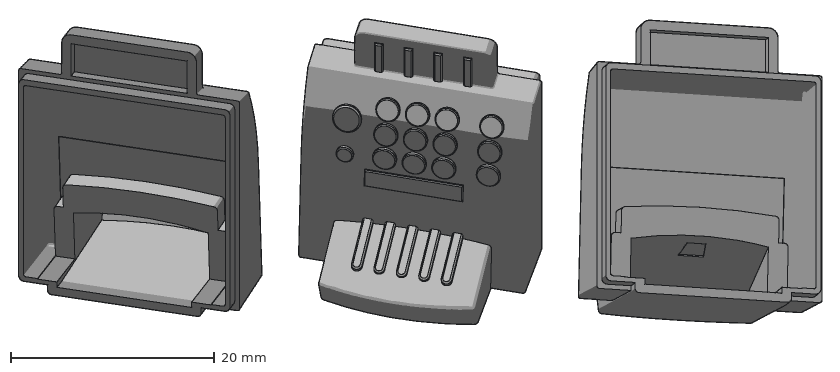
import cadquery as cq
import math

WALL = 1.0
DRAFT = 5.0
MARGIN = 0.03
FAR = 33.6

RIM_DEPTH = 1.45
RIM_HALF_WIDTH = 10.98
RIM_BOTTOM = 1.0
RIM_TOP = 23.07
RIM_CORNER = 0.55
BODY_WIDTH = 23.0
BODY_HALF_WIDTH = BODY_WIDTH / 2
BODY_BOTTOM = 0.53
BODY_TOP = 23.5
BODY_BACK_BOTTOM = 1.15
BODY_BACK_TOP = 23.18
BODY_ROUND = 0.28

BACK_LEAN = math.radians(4.8)
BACK_RADIUS = 20.72
TANGENT_Y = 7.42
TANGENT_Z = 14.1
ARC_Y = TANGENT_Y - BACK_RADIUS * math.cos(BACK_LEAN)
ARC_Z = TANGENT_Z - BACK_RADIUS * math.sin(BACK_LEAN)

CAVITY_HALF_WIDTH = BODY_HALF_WIDTH - WALL
CAVITY_BOTTOM = 1.55
CAVITY_TOP = 22.45
CAVITY_ROUND = 0.28
BAY_HALF_WIDTH = 9.02
BAY_BOTTOM = 1.48
BAY_EXTRA_DEPTH = 0.1

PEDAL_HALF_WIDTH = 7.98
PEDAL_SIDE_WALL = 0.98
PEDAL_WALL = 0.7
PEDAL_FLOOR = 0.9
PEDAL_ROUND = 0.42
ROOF_Y = 7.92
ROOF_Z = 7.0
ROOF_SLOPE = math.radians(19.1)
ROOF_NORMAL = cq.Vector(0, math.sin(ROOF_SLOPE), math.cos(ROOF_SLOPE))
ROOF_INNER_SLOPE = math.radians(21.0)
ROOF_CROWN = 0.45
ROOF_INNER_CROWN = 0.62
END_Y = 14.92
END_Z = 1.23
END_LEAN = math.radians(21.8)
END_BOW = 1.0

BLOCK_DEPTH = 2.0
BLOCK_ANCHOR = 0.28
BLOCK_TOP = 10.22
BLOCK_FOOT = 1.23
BLOCK_CROWN = 0.45
BLOCK_HALF_WIDTH = 8.05
SHOULDER_TOP = 7.2
BLOCK_ROUND = 0.42

RIB_COUNT = 5
RIB_PITCH = 2.27
RIB_WIDTH = 1.05
RIB_HEIGHT = 0.35
RIB_START = -0.55
RIB_END = 5.6
RIB_SINK = 0.35
RIB_CHAMFER = 0.17

NOTCH_HALF_TOP = 0.95
NOTCH_HALF_FOOT = 1.3
NOTCH_START = -1.82
NOTCH_LENGTH = 2.25
NOTCH_DEPTH = 0.15

TAB_HALF_WIDTH = 7.0
TAB_BACK = 3.47
TAB_TOP = 28.0
TAB_ROOT = 22.68
TAB_CORNER = 0.98
TAB_EDGE_ROUND = 0.22
TAB_ROOT_ROUND = 0.22
TAB_WALL = 0.98
TAB_POCKET_DEPTH = 1.0
TAB_RIB_COUNT = 4
TAB_RIB_PITCH = 3.0
TAB_RIB_WIDTH = 0.87
TAB_RIB_TOP = 26.95
TAB_RIB_HEIGHT = 0.25
TAB_RIB_CHAMFER = 0.15

KEY_HEIGHT = 0.4
BAR_HEIGHT = 0.25
KEY_SINK = 0.22
KEY_CHAMFER = 0.1
KEY_DIAMETER = 2.4
KEY_COLUMNS = (-7.5, -3.0, 0, 3.0)
KEY_ROWS = (20.5, 17.95, 15.3)
DIAL_DIAMETER = 2.9
DIAL_X = 7.0
DIAL_Z = 18.98
DIAL_CHAMFER = 0.17
DOT_DIAMETER = 1.75
DOT_Z = 15.05
BAR_LENGTH = 9.97
BAR_WIDTH = 2.02
BAR_Z = 12.5


def back_y(z, inset=0):
    """Depth of the back wall at height z, moved inwards by inset."""
    radius = BACK_RADIUS - inset
    tangent_z = ARC_Z + radius * math.sin(BACK_LEAN)
    if z >= tangent_z:
        return ARC_Y + math.sqrt(radius**2 - (z - ARC_Z) ** 2)
    tangent_y = ARC_Y + radius * math.cos(BACK_LEAN)
    return tangent_y + (tangent_z - z) * math.tan(BACK_LEAN)


def back_bounded(half_width, front, front_z, back_z, inset=0):
    """Solid from a flat front to the back wall; each z pair is (bottom, top)."""
    radius = BACK_RADIUS - inset
    tangent_z = ARC_Z + radius * math.sin(BACK_LEAN)
    middle_z = (tangent_z + back_z[1]) / 2
    return (
        cq.Workplane("YZ")
        .moveTo(front, front_z[0])
        .lineTo(front, front_z[1])
        .lineTo(back_y(back_z[1], inset), back_z[1])
        .threePointArc((back_y(middle_z, inset), middle_z), (back_y(tangent_z, inset), tangent_z))
        .lineTo(back_y(back_z[0], inset), back_z[0])
        .close()
        .extrude(half_width, both=True)
    )


def spaced(count, pitch):
    """X positions of a row centred on the middle of the part."""
    return [(i - (count - 1) / 2) * pitch for i in range(count)]


def front_block(half_width, z_bottom, z_top, y_front, y_back):
    """Box that is centred on X."""
    size = (2 * half_width, y_back - y_front, z_top - z_bottom)
    corner = (-half_width, y_front, z_bottom)
    return cq.Workplane("XY").box(*size, centered=False).translate(corner)


def crowned(workplane, half_width, crown, depth):
    """Outline with an arched top through the workplane origin."""
    return (
        workplane.moveTo(-half_width, -depth)
        .lineTo(-half_width, -crown)
        .threePointArc((0, 0), (half_width, -crown))
        .lineTo(half_width, -depth)
        .close()
    )


def roof_section_plane(y, z, slope):
    """Plane across the roof slope, its local Y pointing out of the roof."""
    normal = (0, -math.cos(slope), math.sin(slope))
    return cq.Plane(origin=(0, y, z), xDir=(1, 0, 0), normal=normal)


def roof_face_plane(y, z, slope):
    """Plane lying on the roof, its local Y pointing down the slope."""
    normal = (0, math.sin(slope), math.cos(slope))
    return cq.Plane(origin=(0, y, z), xDir=(1, 0, 0), normal=normal)


def pedal_volume(half_width, roof_z, slope, crown, end_y, floor_lift):
    """Wedge between the crowned roof, the bowed end wall and the floor."""
    roof_plane = cq.Workplane(roof_section_plane(ROOF_Y, roof_z, slope))
    under_roof = crowned(roof_plane, half_width, crown, FAR).extrude(FAR, both=True)
    end_normal = (0, math.sin(END_LEAN), math.cos(END_LEAN))
    end_plane = cq.Plane(origin=(0, end_y, END_Z), xDir=(1, 0, 0), normal=end_normal)
    bow = END_BOW * (half_width / PEDAL_HALF_WIDTH) ** 2
    before_end = crowned(cq.Workplane(end_plane), half_width, bow, FAR).extrude(FAR, both=True)
    floor_rise = (FAR - RIM_DEPTH) * math.tan(math.radians(DRAFT))
    above_floor = (
        cq.Workplane("YZ")
        .polyline([
            (0, floor_lift),
            (RIM_DEPTH, floor_lift),
            (FAR, floor_lift + floor_rise),
            (FAR, FAR),
            (0, FAR),
        ])
        .close()
        .extrude(half_width, both=True)
    )
    return under_roof.intersect(before_end).intersect(above_floor)


def make_body():
    body = back_bounded(
        BODY_HALF_WIDTH,
        RIM_DEPTH,
        (BODY_BOTTOM, BODY_TOP),
        (BODY_BACK_BOTTOM, BODY_BACK_TOP),
    )
    side_edges = body.faces("<X or >X").edges("not <Y")
    top_back_edge = body.faces(">Z").edges(">Y")
    body = side_edges.add(top_back_edge).fillet(BODY_ROUND)
    rim = front_block(RIM_HALF_WIDTH, RIM_BOTTOM, RIM_TOP, 0, RIM_DEPTH)
    return body.union(rim.edges("|Y").fillet(RIM_CORNER))


def make_pedal():
    pedal = pedal_volume(PEDAL_HALF_WIDTH, ROOF_Z, ROOF_SLOPE, ROOF_CROWN, END_Y, 0)
    side_edges = pedal.faces("<X or >X").edges("not <Y")
    top_of_end = pedal.edges("%BSPLINE")
    return side_edges.add(top_of_end).fillet(PEDAL_ROUND)


def make_cavity():
    heights = (CAVITY_BOTTOM, CAVITY_TOP)
    cavity = back_bounded(CAVITY_HALF_WIDTH, 0, heights, heights, WALL)
    cavity = cavity.faces("<X or >X or <Z or >Z").edges("not <Y").fillet(CAVITY_ROUND)
    bay_heights = (BAY_BOTTOM, CAVITY_TOP)
    bay = back_bounded(BAY_HALF_WIDTH, 0, bay_heights, bay_heights, WALL - BAY_EXTRA_DEPTH)
    below_arc = front_block(BAY_HALF_WIDTH, 0, TANGENT_Z, 0, FAR)
    return cavity.union(bay.intersect(below_arc))


def make_mouth_block():
    """Hood and shoulders that stand square to the leaning back wall."""
    normal = (0, -math.cos(BACK_LEAN), -math.sin(BACK_LEAN))

    def face_at(z):
        origin = (0, back_y(z, WALL + BLOCK_DEPTH), z)
        return cq.Workplane(cq.Plane(origin=origin, xDir=(1, 0, 0), normal=normal))

    reach = -(BLOCK_DEPTH + BLOCK_ANCHOR)
    hood = crowned(face_at(BLOCK_TOP), BLOCK_HALF_WIDTH, BLOCK_CROWN, BLOCK_TOP - BLOCK_FOOT)
    shoulder_height = SHOULDER_TOP - BLOCK_FOOT
    shoulder = face_at(SHOULDER_TOP).center(0, -shoulder_height / 2)
    shoulder = shoulder.rect(2 * BAY_HALF_WIDTH, shoulder_height)
    corners = cq.selectors.ParallelDirSelector(cq.Vector(normal))
    hood = hood.extrude(reach).edges(corners).edges(">Z").fillet(BLOCK_ROUND)
    shoulder = shoulder.extrude(reach).edges(corners).edges(">Z").fillet(BLOCK_ROUND)
    return hood.union(shoulder)


def make_pedal_hollow():
    """Space inside the pedal, open to the cavity through the mouth block."""
    half_width = PEDAL_HALF_WIDTH - PEDAL_SIDE_WALL
    roof_z = ROOF_Z - PEDAL_WALL / math.cos(ROOF_SLOPE)
    end_y = END_Y - PEDAL_WALL / math.cos(END_LEAN)
    slope = ROOF_INNER_SLOPE
    hollow = pedal_volume(half_width, roof_z, slope, ROOF_INNER_CROWN, end_y, PEDAL_FLOOR)
    return hollow.union(make_notch(roof_z))


def make_notch(roof_z):
    """Shallow tapered notch in the underside of the roof."""
    foot = NOTCH_START + NOTCH_LENGTH
    return (
        cq.Workplane(roof_face_plane(ROOF_Y, roof_z, ROOF_INNER_SLOPE))
        .polyline([
            (-NOTCH_HALF_TOP, NOTCH_START),
            (NOTCH_HALF_TOP, NOTCH_START),
            (NOTCH_HALF_FOOT, foot),
            (-NOTCH_HALF_FOOT, foot),
        ])
        .close()
        .extrude(NOTCH_DEPTH, both=True)
    )


def make_pedal_ribs():
    """Round-ended ribs that run down the roof from inside the back wall."""
    length = RIB_END - RIB_START
    middle = (RIB_START + RIB_END) / 2
    centers = [(x, middle) for x in spaced(RIB_COUNT, RIB_PITCH)]
    roof = cq.Workplane(roof_face_plane(ROOF_Y, ROOF_Z, ROOF_SLOPE)).workplane(offset=-RIB_SINK)
    ribs = roof.pushPoints(centers).slot2D(length, RIB_WIDTH, 90).extrude(RIB_HEIGHT + RIB_SINK)
    return ribs.faces(cq.selectors.DirectionMinMaxSelector(ROOF_NORMAL)).chamfer(RIB_CHAMFER)


def make_tab():
    tab = front_block(TAB_HALF_WIDTH, TAB_ROOT, TAB_TOP, RIM_DEPTH, TAB_BACK)
    tab = tab.edges("|Y").edges(">Z").fillet(TAB_CORNER)
    return tab.faces(">Y").edges("not <Z").fillet(TAB_EDGE_ROUND)


def blend_tab(shell):
    """Round the inside corner where the tab stands on the body."""
    around_root = cq.selectors.BoxSelector(
        (-TAB_HALF_WIDTH - MARGIN, RIM_DEPTH + MARGIN, BODY_BACK_TOP),
        (TAB_HALF_WIDTH + MARGIN, TAB_BACK + MARGIN, BODY_TOP),
    )
    return shell.edges(around_root).fillet(TAB_ROOT_ROUND)


def make_tab_ribs():
    ribs = cq.Workplane("XY")
    rib_back = TAB_BACK + TAB_RIB_HEIGHT
    pocket_back = RIM_DEPTH + TAB_POCKET_DEPTH
    rib = front_block(TAB_RIB_WIDTH / 2, TAB_ROOT, TAB_RIB_TOP, pocket_back, rib_back)
    rib = rib.faces(">Y").chamfer(TAB_RIB_CHAMFER)
    for x in spaced(TAB_RIB_COUNT, TAB_RIB_PITCH):
        ribs = ribs.union(rib.translate((x, 0, 0)))
    return ribs


def make_tab_pocket():
    half_width = TAB_HALF_WIDTH - TAB_WALL
    pocket_back = RIM_DEPTH + TAB_POCKET_DEPTH
    return front_block(half_width, BODY_TOP, TAB_TOP - TAB_WALL, RIM_DEPTH, pocket_back)


def wall_plane(x, z):
    """Plane sunk just under the back wall and facing out of it."""
    lean = math.asin((z - ARC_Z) / BACK_RADIUS) if z > TANGENT_Z else BACK_LEAN
    normal = (0, math.cos(lean), math.sin(lean))
    plane = cq.Plane(origin=(x, back_y(z), z), xDir=(-1, 0, 0), normal=normal)
    return cq.Workplane(plane).workplane(offset=-KEY_SINK)


def round_key(x, z, diameter, chamfer):
    key = wall_plane(x, z).circle(diameter / 2).extrude(KEY_HEIGHT + KEY_SINK)
    return key.faces(">Y").chamfer(chamfer)


def make_keys():
    bar = wall_plane(0, BAR_Z).rect(BAR_LENGTH, BAR_WIDTH).extrude(BAR_HEIGHT + KEY_SINK)
    keys = bar.faces(">Y").chamfer(KEY_CHAMFER)
    keys = keys.union(round_key(DIAL_X, DIAL_Z, DIAL_DIAMETER, DIAL_CHAMFER))
    keys = keys.union(round_key(DIAL_X, DOT_Z, DOT_DIAMETER, KEY_CHAMFER))
    for x in KEY_COLUMNS:
        for z in KEY_ROWS:
            keys = keys.union(round_key(x, z, KEY_DIAMETER, KEY_CHAMFER))
    return keys


shell = make_body().union(make_pedal()).union(make_tab())
shell = blend_tab(shell).union(make_tab_ribs())
shell = shell.cut(make_cavity()).cut(make_tab_pocket())
shell = shell.union(make_mouth_block()).cut(make_pedal_hollow())
result = shell.union(make_pedal_ribs()).union(make_keys())